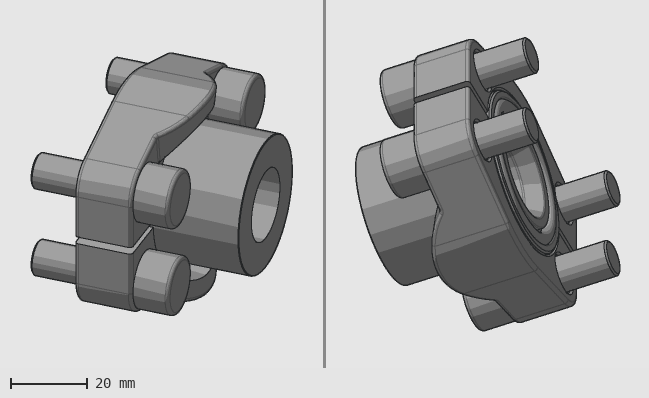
import cadquery as cq
import math


clamp_thickness = 16.0
bolt_y = 26.2
bolt_z = 13.1
corner_radius = 8.8
crown_radius = 29.5
split_gap = 2.0
edge_fillet = 1.0
bulge_radius = 24.0
bulge_draft = 6.0
bulge_root_fillet = 1.0
bore_diameter = 39.9
hollow_diameter = 48.0
bolt_hole_diameter = 10.5
bolt_hole_chamfer = 0.6

hub_length = 40.0
hub_diameter = 37.9
hub_end_chamfer = 0.2
flange_diameter = 44.5
flange_thickness = 8.0
flange_stand_out = 0.5
flange_chamfer = 0.5
neck_fillet = 0.8
port_diameter = 20.0
port_mouth_diameter = 25.5
port_taper_angle = 30.0
port_mouth_fillet = 0.5
port_throat_fillet = 1.0
groove_outer_diameter = 39.9
groove_inner_diameter = 31.0
groove_depth = 2.9
groove_edge_fillet = 0.3

recess_diameter = 45.0
recess_chamfer = 0.5

ring_section_diameter = 3.53

shank_diameter = 9.73
shank_length = 30.0
shank_tip_chamfer = 0.5
head_diameter = 16.0
head_height = 10.0
head_fillet = 1.0

tolerance = 0.01

flange_front = -flange_stand_out
flange_back = flange_front + flange_thickness
hub_back = flange_front + hub_length


def cylinder(diameter, start, length, y=0.0, z=0.0):
    """Cylinder along +X from X = start, centred at (y, z)."""
    return cq.Workplane("YZ", origin=(start, y, z)).circle(diameter / 2).extrude(length)


def cone(start_diameter, end_diameter, start, length, y=0.0, z=0.0):
    """Truncated cone along +X from X = start, centred at (y, z)."""
    solid = cq.Solid.makeCone(
        start_diameter / 2, end_diameter / 2, length, cq.Vector(start, y, z), cq.Vector(1, 0, 0)
    )
    return cq.Workplane(solid)


def half_outline(length):
    """Upper half of the clamp outline, from the XY plane up, extruded along +X."""
    bolt_circle_radius = math.hypot(bolt_y, bolt_z)
    flank_angle = math.atan2(bolt_z, bolt_y) + math.acos((crown_radius - corner_radius) / bolt_circle_radius)
    corner_mid_angle = flank_angle / 2

    def corner_point(side, angle):
        return (
            side * (bolt_y + corner_radius * math.cos(angle)),
            bolt_z + corner_radius * math.sin(angle),
        )

    def crown_point(side):
        return (side * crown_radius * math.cos(flank_angle), crown_radius * math.sin(flank_angle))

    half_width = bolt_y + corner_radius
    return (
        cq.Workplane("YZ")
        .moveTo(-half_width, 0)
        .lineTo(half_width, 0)
        .lineTo(half_width, bolt_z)
        .threePointArc(corner_point(1, corner_mid_angle), corner_point(1, flank_angle))
        .lineTo(*crown_point(1))
        .threePointArc((0, crown_radius), crown_point(-1))
        .lineTo(*corner_point(-1, flank_angle))
        .threePointArc(corner_point(-1, corner_mid_angle), (-half_width, bolt_z))
        .close()
        .extrude(length)
    )


def clamp_blank():
    """Upper clamp half without holes: a plate with a drafted round bulge on its back."""
    taper = math.tan(math.radians(bulge_draft))
    crown_height = crown_radius - edge_fillet
    bulge_limit = cq.Workplane(
        cq.Solid.makeCone(
            bulge_radius - crown_height * taper, bulge_radius + edge_fillet * taper, crown_radius
        )
    )
    prism = half_outline(2 * bulge_radius)
    blank = half_outline(clamp_thickness).union(prism.intersect(bulge_limit))

    root_zone = cq.selectors.BoxSelector(
        (clamp_thickness - tolerance, -bulge_radius, 0),
        (clamp_thickness + tolerance, bulge_radius, bolt_z),
    )
    blank = blank.edges(root_zone).fillet(bulge_root_fillet)

    side = cq.Compound.makeCompound(prism.faces("not(<X or >X or <Z)").vals())

    def lies_on_side(edge):
        middle = edge.positionAt(0.5)
        return side.distance(cq.Vertex.makeVertex(middle.x, middle.y, middle.z)) < tolerance

    return blank.edges("not |X").filter(lies_on_side).fillet(edge_fillet)


def clamp_half():
    """Upper clamp half with its bore, flange recess and bolt holes."""
    hollow_depth = bulge_radius + edge_fillet - clamp_thickness
    hollow_root_diameter = hollow_diameter - 2 * hollow_depth * math.tan(math.radians(bulge_draft))
    half = clamp_blank()
    half = half.cut(cylinder(bore_diameter, 0, 2 * bulge_radius))
    half = half.cut(cone(hollow_root_diameter, hollow_diameter, clamp_thickness, hollow_depth))
    half = half.cut(cylinder(recess_diameter, 0, flange_back))
    half = half.cut(
        cone(recess_diameter + 2 * recess_chamfer, recess_diameter, 0, recess_chamfer)
    )
    for y in (-bolt_y, bolt_y):
        half = half.cut(cylinder(bolt_hole_diameter, 0, clamp_thickness, y, bolt_z))
        half = half.cut(
            cone(bolt_hole_diameter + 2 * bolt_hole_chamfer, bolt_hole_diameter,
                 0, bolt_hole_chamfer, y, bolt_z)
        )
    gap_block = cq.Workplane().box(4 * bulge_radius, 4 * bolt_y, split_gap)
    return half.cut(gap_block)


def hub():
    """Tube with a flange at its front, an O-ring groove and a tapered port mouth."""
    flange_radius = flange_diameter / 2
    tube_radius = hub_diameter / 2
    body = (
        cq.Workplane("XY")
        .moveTo(flange_front, 0)
        .lineTo(flange_front, flange_radius - flange_chamfer)
        .lineTo(flange_front + flange_chamfer, flange_radius)
        .lineTo(flange_back - flange_chamfer, flange_radius)
        .lineTo(flange_back, flange_radius - flange_chamfer)
        .lineTo(flange_back, tube_radius + neck_fillet)
        .radiusArc((flange_back + neck_fillet, tube_radius), -neck_fillet)
        .lineTo(hub_back - hub_end_chamfer, tube_radius)
        .lineTo(hub_back, tube_radius - hub_end_chamfer)
        .lineTo(hub_back, 0)
        .close()
        .revolve(360, (0, 0, 0), (1, 0, 0))
    )
    taper_depth = (port_mouth_diameter - port_diameter) / 2 / math.tan(math.radians(port_taper_angle))
    throat = flange_front + taper_depth
    body = body.cut(cylinder(port_diameter, flange_front, hub_length))
    body = body.cut(cone(port_mouth_diameter, port_diameter, flange_front, taper_depth))
    throat_edge = cq.selectors.BoxSelector(
        (throat - tolerance, -port_diameter, -port_diameter),
        (throat + tolerance, port_diameter, port_diameter),
    )
    body = body.edges(throat_edge).fillet(port_throat_fillet)
    body = body.faces("<X").edges(cq.selectors.RadiusNthSelector(0)).fillet(port_mouth_fillet)

    groove = cylinder(groove_outer_diameter, flange_front, groove_depth)
    groove = groove.cut(cylinder(groove_inner_diameter, flange_front, groove_depth))
    body = body.cut(groove)
    for diameter in (groove_inner_diameter, groove_outer_diameter):
        rim = body.faces("<X").edges().filter(
            lambda edge: abs(edge.radius() - diameter / 2) < tolerance
        )
        body = rim.fillet(groove_edge_fillet)
    return body


def o_ring():
    """Torus resting on the floor and the outer wall of the hub groove."""
    section_radius = ring_section_diameter / 2
    ring = cq.Solid.makeTorus(
        groove_outer_diameter / 2 - section_radius,
        section_radius,
        cq.Vector(flange_front + groove_depth - section_radius, 0, 0),
        cq.Vector(1, 0, 0),
    )
    return cq.Workplane(ring)


def screw(y, z):
    """Cap screw whose head sits on the back of the clamp."""
    tip = clamp_thickness - shank_length
    shank = cylinder(shank_diameter, tip, shank_length, y, z).edges("<X").chamfer(shank_tip_chamfer)
    head = cylinder(head_diameter, clamp_thickness, head_height, y, z).edges(">X").fillet(head_fillet)
    return shank.union(head)


upper_clamp = clamp_half()
lower_clamp = upper_clamp.rotate((0, 0, 0), (1, 0, 0), 180)
screws = [screw(y, z) for y in (-bolt_y, bolt_y) for z in (-bolt_z, bolt_z)]

result = cq.Compound.makeCompound(
    [
        upper_clamp.val(),
        lower_clamp.val(),
        hub().val(),
        o_ring().val(),
        *[fastener.val() for fastener in screws],
    ]
)